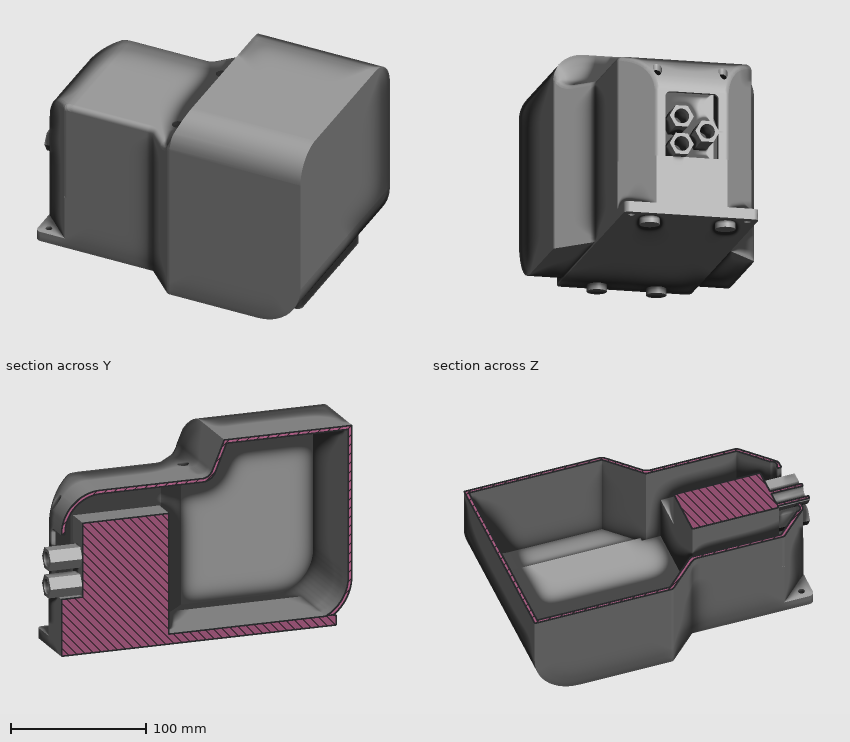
import cadquery as cq
import math


neck_half = 51.2
corner_cut = 24.0
edge_fillet = 4.0
seat_length = 85.2
seat_top = 44.5

cover_length = 230.0
cover_bottom = 1.7
neck_top = 126.0
hood_top = 154.0
hood_width = 153.0
hood_half = hood_width / 2
hood_start = 121.0
hood_radius = 25.0
slope_top = 128.8
slope_bottom = 117.0
slope_fillet = 8.0
nose_radius = 31.0
tail_radius = 35.0
flare_fillet = 8.0
flare_start = hood_start - (hood_half - neck_half)
wall = 3.0

window_half = 20.2
window_top = 94.2
window_radius = 4.0
front_hole_diameter = 7.0
front_hole_x = 5.7
front_hole_y = 25.0
rear_hole_diameter = 8.5
rear_hole_x = 110.5
rear_hole_y = 37.5

plate_length = 217.8
plate_thickness = 8.0
mount_hole_diameter = 5.0
mount_hole_x = 7.9
mount_hole_y = 44.0
tower_front = 17.0
tower_half = window_half
tower_top = 101.9
foot_diameter = 15.0
foot_height = 5.0
front_foot = (14.5, 28.8)
rear_foot = (207.3, 22.5)

fitting_tip = -8.0
fitting_flats = 16.0
fitting_bore = 11.2
fitting_y = 9.8
fitting_pitch = 21.2
low_fitting_z = seat_top + fitting_flats / 2
fitting_places = [
    (fitting_y, low_fitting_z),
    (fitting_y, low_fitting_z + fitting_pitch),
    (-fitting_y, low_fitting_z + fitting_pitch / 2),
]


def box(x0, x1, y0, y1, z0, z1):
    """Box between two opposite corners."""
    return cq.Workplane("XY").box(x1 - x0, y1 - y0, z1 - z0, centered=False).translate((x0, y0, z0))


def mirrored(x, y):
    """A point and its mirror image across the middle plane."""
    return [(x, y), (x, -y)]


def cylinders(points, diameter, z0, z1):
    """Vertical cylinders at the given points, from z0 to z1."""
    return cq.Workplane("XY", origin=(0, 0, z0)).pushPoints(points).circle(diameter / 2).extrude(z1 - z0)


def plan_prism(inset):
    """Plan outline of the cover, moved inward by the inset."""
    half_outline = [
        (0, neck_half - corner_cut),
        (corner_cut, neck_half),
        (flare_start, neck_half),
        (hood_start, hood_half),
        (cover_length, hood_half),
    ]
    other_half = [(x, -y) for x, y in reversed(half_outline)]
    outline = cq.Workplane("XY").polyline(half_outline + other_half).close()
    if inset:
        outline = outline.offset2D(-inset, "intersection")
    return outline.extrude(hood_top)


def side_prism(inset):
    """Side outline of the cover: rounded nose, neck, sloping hood front and rounded lower rear edge."""
    nose_diagonal = nose_radius * math.sqrt(0.5)
    tail_diagonal = tail_radius * math.sqrt(0.5)
    slope_angle = math.atan2(hood_top - neck_top, slope_top - slope_bottom)
    tangent = slope_fillet * math.tan(slope_angle / 2)
    bend_centre = (slope_bottom - tangent, neck_top + slope_fillet)
    bend_middle = (
        bend_centre[0] + slope_fillet * math.sin(slope_angle / 2),
        bend_centre[1] - slope_fillet * math.cos(slope_angle / 2),
    )
    bend_end = (
        slope_bottom + tangent * math.cos(slope_angle),
        neck_top + tangent * math.sin(slope_angle),
    )
    nose_z = neck_top - nose_radius
    rear_x = cover_length - tail_radius
    rear_z = cover_bottom + tail_radius
    outline = (
        cq.Workplane("XZ", origin=(0, hood_half, 0))
        .moveTo(0, cover_bottom)
        .lineTo(0, nose_z)
        .threePointArc((nose_radius - nose_diagonal, nose_z + nose_diagonal), (nose_radius, neck_top))
        .lineTo(bend_centre[0], neck_top)
        .threePointArc(bend_middle, bend_end)
        .lineTo(slope_top, hood_top)
        .lineTo(cover_length, hood_top)
        .lineTo(cover_length, rear_z)
        .threePointArc((rear_x + tail_diagonal, rear_z - tail_diagonal), (rear_x, cover_bottom))
        .close()
    )
    if inset:
        outline = outline.offset2D(-inset, "intersection")
    return outline.extrude(2 * hood_half)


def end_prism(inset):
    """Cross-section of the hood with its two large upper rounds, along the whole cover."""
    half = hood_half - inset
    return (
        box(0, cover_length, -half, half, 0, hood_top - inset)
        .edges("|X and >Z")
        .fillet(hood_radius - inset)
    )


def nearest_edges(shape, points):
    """The edges nearest to the points and to their mirror images across the middle plane."""
    edges = []
    for x, y, z in points:
        for side in (y, -y):
            edges += shape.edges(cq.selectors.NearestToPointSelector((x, side, z))).vals()
    return edges


def round_edges(shape):
    """Fillet the vertical edges and the upper rim; each fillet runs on along the edges tangent to it."""
    mid_height = neck_top / 2
    flare_foot = (flare_start, neck_half, mid_height)
    nose_edge = (0, neck_half - corner_cut, mid_height)
    cheek_edge = (corner_cut, neck_half, mid_height)
    neck_rim = ((corner_cut + flare_start) / 2, neck_half, neck_top)
    hood_edge = (hood_start, hood_half, mid_height)
    rounds = [
        ([flare_foot], flare_fillet),
        ([nose_edge, cheek_edge], edge_fillet),
        ([neck_rim], edge_fillet),
        ([hood_edge], edge_fillet),
    ]
    for points, radius in rounds:
        solid = shape.solids().val().fillet(radius, nearest_edges(shape, points))
        shape = cq.Workplane(solid)
    return shape


def envelope(inset=0):
    """Solid shape of the cover, moved inward by the inset; only the outer shape has small rounds."""
    shape = plan_prism(inset).intersect(side_prism(inset))
    if not inset:
        shape = round_edges(shape)
    return shape.intersect(end_prism(inset))


def make_plate():
    """Base plate, with its sides relieved where the neck walls of the cover stand."""
    plate = box(0, plate_length, -neck_half, neck_half, 0, plate_thickness).edges("|Z").fillet(edge_fillet)
    relief_end = flare_start + wall * math.sqrt(2)
    for y in (-neck_half, neck_half - wall):
        plate = plate.cut(box(seat_length, relief_end, y, y + wall, cover_bottom, plate_thickness))
    return plate


def make_seat():
    """Front block of the base, with its front corners cut at 45 degrees."""
    seat = box(0, seat_length, -neck_half, neck_half, 0, seat_top)
    return seat.edges("|Z and <X").chamfer(corner_cut)


def make_fitting(y, z):
    """Hexagonal tube on the tower face, with flats at its top and bottom."""
    corners = fitting_flats / math.cos(math.pi / 6)
    return (
        cq.Workplane("YZ", origin=(fitting_tip, y, z))
        .polygon(6, corners)
        .circle(fitting_bore / 2)
        .extrude(tower_front - fitting_tip)
    )


def make_base():
    """Base body: plate, seat, inner tower with the cable fittings, and four feet."""
    base = make_plate().union(make_seat())
    base = base.union(box(tower_front, seat_length, -tower_half, tower_half, 0, tower_top))
    for y, z in fitting_places:
        base = base.union(make_fitting(y, z))
    feet = mirrored(*front_foot) + mirrored(*rear_foot)
    base = base.union(cylinders(feet, foot_diameter, -foot_height, plate_thickness))
    mount_holes = mirrored(mount_hole_x, mount_hole_y)
    return base.cut(cylinders(mount_holes, mount_hole_diameter, 0, plate_thickness))


def make_cover():
    """Cover body: hollow shell with a cable window and four holes, open where the base fits in."""
    cover = envelope().cut(envelope(wall))
    window = box(0, wall, -window_half, window_half, cover_bottom, window_top)
    cover = cover.cut(window.edges("|X and >Z").fillet(window_radius))
    front_holes = mirrored(front_hole_x, front_hole_y)
    rear_holes = mirrored(rear_hole_x, rear_hole_y)
    cover = cover.cut(cylinders(front_holes, front_hole_diameter, seat_top, hood_top))
    cover = cover.cut(cylinders(rear_holes, rear_hole_diameter, seat_top, hood_top))
    seat_space = box(0, seat_length, -neck_half, neck_half, 0, seat_top)
    return cover.cut(seat_space).cut(make_plate())


cover = make_cover()
base = make_base()

result = cq.Compound.makeCompound([cover.solids().val(), base.solids().val()])